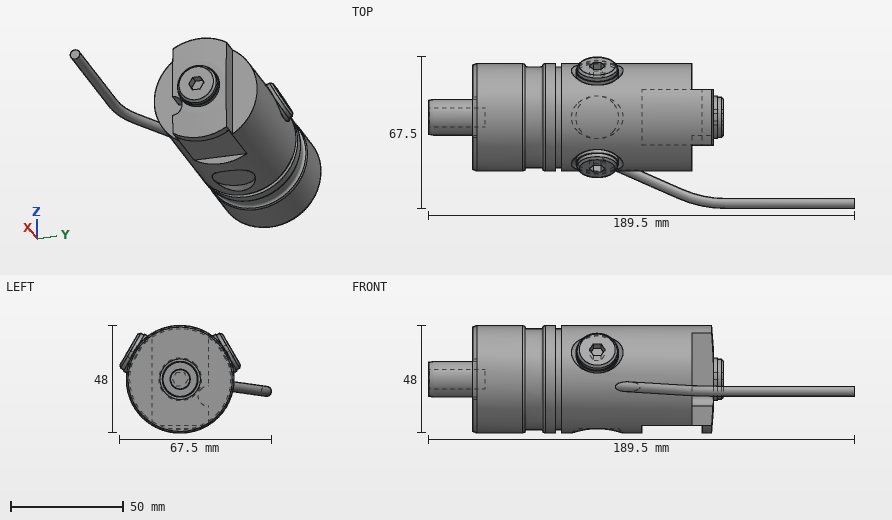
import cadquery as cq
import math


body_diameter = 48.0
body_radius = body_diameter / 2
body_length = 106.4
front_chamfer_length = 1.9
front_chamfer_step = 0.8

groove_diameter = 45.0
wide_groove_start = 22.2
wide_groove_end = 32.5
wide_groove_corner_radius = 1.1
wide_groove_chamfer_length = 1.1
narrow_groove_start = 37.0
narrow_groove_end = 39.5

rear_face_x = 107.3
rear_face_radius = 12.5

shaft_diameter = 16.0
shaft_length = 19.49
shaft_tip_length = 2.2
shaft_tip_step = 0.4
shaft_bore_diameter = 8.5
shaft_bore_depth = 25.0
shaft_bore_mouth_diameter = 9.0
shaft_recess_diameter = 18.0
shaft_recess_depth = 2.0

wrench_flat_start = 97.6
wrench_flat_width = 25.0
scoop_radius = 4.5
scoop_z = -7.5
bottom_flat_start = 75.4
bottom_flat_end = 102.2
bottom_flat_radius = 20.6

port_x = 55.5
port_seat_diameter = 19.0
port_seat_radius = 22.0
port_seat_margin = 1.0
plugged_port_angles = (30.0, 150.0)
open_port_angle = 270.0
washer_diameter = 19.0
washer_thickness = 1.7
plug_head_diameter = 18.0
plug_head_thickness = 2.7
plug_chamfer = 1.0
socket_across_flats = 6.0
socket_depth = 5.0

cable_diameter = 4.5
cable_tilt = 8.0
cable_slant = 24.0
cable_bend_radius = 50.0
cable_bend_end_x = 112.8
cable_end_x = 170.0
cable_axis_distance = 38.73
cable_root_distance = 20.0


def along_x(diameter, start, end):
    """Cylinder on the part axis between two X positions."""
    return cq.Workplane("YZ", origin=(start, 0, 0)).circle(diameter / 2).extrude(end - start)


def make_body():
    floor = groove_diameter / 2
    corner = wide_groove_corner_radius
    front_wall = wide_groove_start + wide_groove_chamfer_length
    rear_wall = wide_groove_end - wide_groove_chamfer_length
    outline = (
        cq.Workplane("XY")
        .moveTo(0, 0)
        .lineTo(0, body_radius - front_chamfer_step)
        .lineTo(front_chamfer_length, body_radius)
        .lineTo(wide_groove_start, body_radius)
        .lineTo(front_wall, floor + corner)
        .radiusArc((front_wall + corner, floor), -corner)
        .lineTo(rear_wall - corner, floor)
        .radiusArc((rear_wall, floor + corner), -corner)
        .lineTo(wide_groove_end, body_radius)
        .lineTo(narrow_groove_start, body_radius)
        .lineTo(narrow_groove_start, floor)
        .lineTo(narrow_groove_end, floor)
        .lineTo(narrow_groove_end, body_radius)
        .lineTo(body_length, body_radius)
        .lineTo(rear_face_x, rear_face_radius)
        .lineTo(rear_face_x, 0)
        .close()
    )
    return outline.revolve(360, (0, 0, 0), (1, 0, 0))


def make_shaft():
    outline = cq.Workplane("XY").polyline([
        (-shaft_length, 0),
        (-shaft_length, shaft_diameter / 2 - shaft_tip_step),
        (-shaft_length + shaft_tip_length, shaft_diameter / 2),
        (shaft_recess_depth, shaft_diameter / 2),
        (shaft_recess_depth, 0),
    ])
    return outline.close().revolve(360, (0, 0, 0), (1, 0, 0))


def make_shaft_bore():
    bore = along_x(shaft_bore_diameter, -shaft_length, shaft_bore_depth - shaft_length)
    mouth_depth = (shaft_bore_mouth_diameter - shaft_bore_diameter) / 2
    mouth = (
        cq.Workplane("YZ", origin=(-shaft_length, 0, 0))
        .circle(shaft_bore_mouth_diameter / 2)
        .workplane(offset=mouth_depth)
        .circle(shaft_bore_diameter / 2)
        .loft()
    )
    return bore.union(mouth)


def make_wrench_flat_cuts():
    length = rear_face_x - wrench_flat_start
    depth = body_radius
    cuts = cq.Workplane("XY")
    for side in (-1, 1):
        slab = cq.Workplane("XY").box(length, depth, body_diameter, centered=(False, True, True))
        y_middle = side * (wrench_flat_width + depth) / 2
        cuts = cuts.add(slab.translate((wrench_flat_start, y_middle, 0)))
    scoop = (
        cq.Workplane("YZ", origin=(wrench_flat_start, -wrench_flat_width / 2, scoop_z))
        .circle(scoop_radius)
        .extrude(length)
    )
    return cuts.add(scoop).combine()


def make_bottom_flat_cut():
    length = bottom_flat_end - bottom_flat_start
    slab = cq.Workplane("XY").box(length, body_diameter, body_radius, centered=(False, True, False))
    return slab.translate((bottom_flat_start, 0, -bottom_flat_radius - body_radius))


def radial_plane(angle, distance):
    """Plane facing outward at a port, `angle` degrees up from -Y around the axis."""
    outward = (0, -math.cos(math.radians(angle)), math.sin(math.radians(angle)))
    origin = (port_x, outward[1] * distance, outward[2] * distance)
    return cq.Plane(origin=origin, xDir=(1, 0, 0), normal=outward)


def make_port_seat_cut(angle):
    wall_height = body_radius - port_seat_radius + port_seat_margin
    return (
        cq.Workplane(radial_plane(angle, port_seat_radius))
        .circle(port_seat_diameter / 2)
        .workplane(offset=wall_height)
        .circle(port_seat_diameter / 2 + wall_height)
        .loft()
    )


def make_plug(plane):
    washer = cq.Workplane(plane).circle(washer_diameter / 2).extrude(washer_thickness)
    head = (
        cq.Workplane(plane)
        .workplane(offset=washer_thickness)
        .circle(plug_head_diameter / 2)
        .extrude(plug_head_thickness)
    )
    head = head.faces(cq.DirectionMinMaxSelector(plane.zDir, True)).edges().chamfer(plug_chamfer)
    socket_across_corners = socket_across_flats / math.cos(math.radians(30))
    socket = (
        cq.Workplane(plane)
        .workplane(offset=washer_thickness + plug_head_thickness)
        .polygon(6, socket_across_corners)
        .extrude(-socket_depth)
    )
    return washer.union(head).cut(socket)


def make_cable():
    tilt = math.radians(cable_tilt)
    slant = math.radians(cable_slant)
    plane = cq.Plane(
        origin=(0, 0, 0),
        xDir=(1, 0, 0),
        normal=(0, math.sin(tilt), -math.cos(tilt)),
    )
    bend_start_x = cable_bend_end_x - cable_bend_radius * math.sin(slant)
    bend_start_distance = cable_axis_distance - cable_bend_radius * (1 - math.cos(slant))
    root_x = bend_start_x - (bend_start_distance - cable_root_distance) / math.tan(slant)
    path = (
        cq.Workplane(plane)
        .moveTo(cable_end_x, cable_axis_distance)
        .lineTo(cable_bend_end_x, cable_axis_distance)
        .tangentArcPoint((bend_start_x, bend_start_distance), relative=False)
        .lineTo(root_x, cable_root_distance)
    )
    section = cq.Workplane("YZ", origin=plane.toWorldCoords((cable_end_x, cable_axis_distance)).toTuple())
    return section.circle(cable_diameter / 2).sweep(path)


recess = along_x(shaft_recess_diameter, 0, shaft_recess_depth)
body = make_body().cut(recess).union(make_shaft()).cut(make_shaft_bore())
body = body.cut(make_wrench_flat_cuts()).cut(make_bottom_flat_cut())

for port_angle in plugged_port_angles + (open_port_angle,):
    body = body.cut(make_port_seat_cut(port_angle))
for port_angle in plugged_port_angles:
    body = body.union(make_plug(radial_plane(port_angle, port_seat_radius)))

rear_plane = cq.Plane(origin=(rear_face_x, 0, 0), xDir=(0, 1, 0), normal=(1, 0, 0))
result = body.union(make_plug(rear_plane)).union(make_cable())